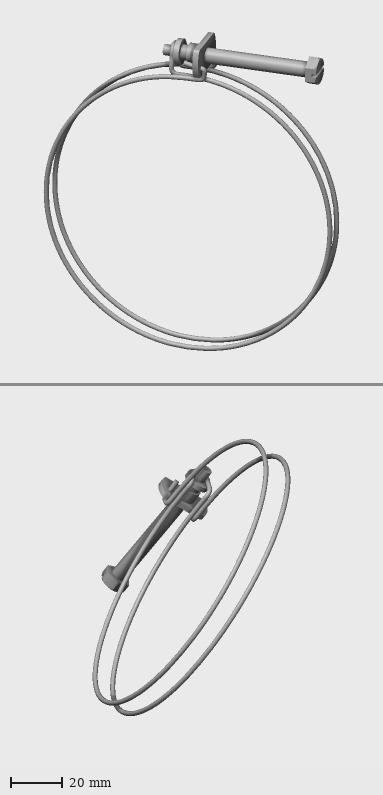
import cadquery as cq
import math


wire_dia = 2.0
wire_radius = wire_dia / 2
loop_outer_radius = 59.5
loop_radius = loop_outer_radius - wire_radius
inner_strand_y = 4.2
outer_strand_y = 6.3

total_height = 131.8
plate_x = 3.8
plate_thickness = 2.4
plate_width = 22.0
plate_height = 12.0
side_bulge = 1.8
plate_corner_radius = 1.6
sleeve_x = -1.0
sleeve_radius = 4.1

axis_z = total_height - loop_outer_radius - plate_height / 2
tip_x = -11.3
tip_radius = 2.2
collar_x = -6.0
collar_thickness = 2.2
collar_radius = 5.3
shank_radius = 3.2
head_x = 48.5
head_length = 4.5
head_across_corners = 11.7
head_chamfer = 0.8
slot_width = 1.3
slot_depth = 1.8

saddle_x = collar_x - wire_radius
saddle_radius = 3.3
saddle_bend_radius = 2.4

hook_y = 7.0
hook_start_x = 4.6
hook_reach_x = 7.4
hook_mid_z = 61.5
peg_end_x = -0.8
peg_end_z = 65.1
peg_slope = 0.2
peg_clearance = 0.3
hook_end_x = plate_x + plate_thickness + peg_clearance
hook_end_z = peg_end_z - peg_slope * (hook_end_x - peg_end_x)


def cylinder_x(x_start, x_end, radius):
    """Cylinder on the bolt axis."""
    plane = cq.Plane(origin=(x_start, 0, axis_z), xDir=(0, 1, 0), normal=(1, 0, 0))
    return cq.Workplane(plane).circle(radius).extrude(x_end - x_start)


def wire_centreline(side):
    """Smoothly joined centreline edges from the saddle to the peg; side is +1 or -1 along Y."""
    y_in = side * inner_strand_y
    y_out = side * outer_strand_y
    y_hook = side * hook_y
    bend_x = saddle_x + saddle_bend_radius
    bend_z = loop_radius + saddle_bend_radius
    bend_mid = saddle_bend_radius * math.sqrt(0.5)

    saddle_end = cq.Vector(saddle_x, side * saddle_radius, axis_z)
    leg_end = cq.Vector(saddle_x, y_in, bend_z)
    bend_middle = cq.Vector(bend_x - bend_mid, y_in, bend_z - bend_mid)
    bend_end = cq.Vector(bend_x, y_in, loop_radius)
    loop_start = cq.Vector(0, y_in, loop_radius)
    loop_right = cq.Vector(loop_radius, y_in, 0)
    loop_bottom = cq.Vector(0, y_in, -loop_radius)
    loop_left = cq.Vector(-loop_radius, (y_in + y_out) / 2, 0)
    loop_end = cq.Vector(0, y_out, loop_radius)
    hook_start = cq.Vector(hook_start_x, y_out, loop_radius)
    hook_middle = cq.Vector(hook_reach_x, (y_out + y_hook) / 2, hook_mid_z)
    hook_end = cq.Vector(hook_end_x, y_hook, hook_end_z)
    peg_end = cq.Vector(peg_end_x, y_hook, peg_end_z)

    return [
        cq.Edge.makeSpline(
            [saddle_end, leg_end],
            tangents=[cq.Vector(0, 0, -1), cq.Vector(0, 0, -1)],
        ),
        cq.Edge.makeThreePointArc(leg_end, bend_middle, bend_end),
        cq.Edge.makeLine(bend_end, loop_start),
        cq.Edge.makeThreePointArc(loop_start, loop_right, loop_bottom),
        cq.Edge.makeThreePointArc(loop_bottom, loop_left, loop_end),
        cq.Edge.makeLine(loop_end, hook_start),
        cq.Edge.makeSpline(
            [hook_start, hook_middle, hook_end],
            tangents=[cq.Vector(1, 0, 0), cq.Vector(-1, 0, peg_slope)],
        ),
        cq.Edge.makeLine(hook_end, peg_end),
    ]


def make_wire():
    saddle = cq.Edge.makeThreePointArc(
        cq.Vector(saddle_x, -saddle_radius, axis_z),
        cq.Vector(saddle_x, 0, axis_z + saddle_radius),
        cq.Vector(saddle_x, saddle_radius, axis_z),
    )
    edges = [saddle]
    for side in (-1, 1):
        edges += wire_centreline(side)
    path = cq.Wire.combine(edges)[0]
    peg_start = cq.Vector(peg_end_x, -hook_y, peg_end_z)
    section = cq.Plane(origin=peg_start, normal=cq.Vector(1, 0, -peg_slope))
    return cq.Workplane(section).circle(wire_radius).sweep(cq.Workplane("XY").newObject([path]))


def make_head():
    head_end = head_x + head_length
    plane = cq.Plane(origin=(head_x, 0, axis_z), xDir=(0, 0, 1), normal=(1, 0, 0))
    hexagon = cq.Workplane(plane).polygon(6, head_across_corners).extrude(head_length)
    chamfered_round = cylinder_x(head_x, head_end, head_across_corners / 2)
    chamfered_round = chamfered_round.faces(">X").chamfer(head_chamfer)
    slot = (
        cq.Workplane("XY")
        .box(2 * slot_depth, head_across_corners, slot_width)
        .translate((head_end, 0, axis_z))
    )
    return hexagon.intersect(chamfered_round).cut(slot)


def make_bolt():
    tip = cylinder_x(tip_x, collar_x, tip_radius)
    collar = cylinder_x(collar_x, collar_x + collar_thickness, collar_radius)
    shank = cylinder_x(collar_x, head_x, shank_radius)
    return tip.union(collar).union(shank).union(make_head())


def peg_hole(side):
    """Sloping hole that fits one wire peg."""
    start = cq.Vector(hook_end_x, side * hook_y, hook_end_z)
    along = cq.Vector(-1, 0, peg_slope)
    length = (hook_end_x - peg_end_x) * along.Length
    return cq.Workplane(cq.Plane(origin=start, normal=along)).circle(wire_radius).extrude(length)


def make_plate():
    half_width = plate_width / 2
    half_height = plate_height / 2
    corner_y = half_width - side_bulge
    plane = cq.Plane(origin=(plate_x, 0, axis_z), xDir=(0, 1, 0), normal=(1, 0, 0))
    plate = (
        cq.Workplane(plane)
        .moveTo(-corner_y, -half_height)
        .lineTo(corner_y, -half_height)
        .threePointArc((half_width, 0), (corner_y, half_height))
        .lineTo(-corner_y, half_height)
        .threePointArc((-half_width, 0), (-corner_y, -half_height))
        .close()
        .extrude(plate_thickness)
        .edges("|X")
        .fillet(plate_corner_radius)
    )
    plate = plate.union(cylinder_x(sleeve_x, plate_x, sleeve_radius))
    plate = plate.cut(cylinder_x(sleeve_x, plate_x + plate_thickness, shank_radius))
    for side in (-1, 1):
        plate = plate.cut(peg_hole(side))
    return plate


clamp_wire = make_wire()
bolt = make_bolt()
plate = make_plate()

result = cq.Compound.makeCompound([clamp_wire.val(), bolt.solids().val(), plate.solids().val()])